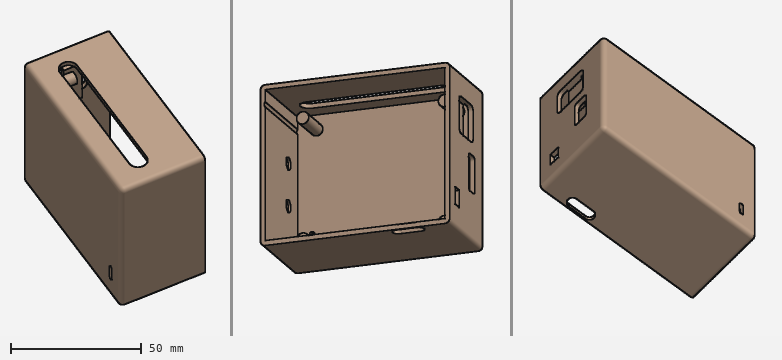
import cadquery as cq

width = 77.5
depth = 37.0
height = 65.0
wall = 2.0
edge_radius = 2.0

post_diameter = 5.0
post_end_y = 17.1
post_pitch_x = 58.0
post_pitch_z = 49.0

top_slot_length = 62.5
top_slot_width = 7.5
top_slot_y = 13.75

front_slot_height = 7.0
front_slot_width = 2.0
front_slot_x = 69.7
front_slot_z = 12.5

bottom_slot_length = 13.0
bottom_slot_width = 4.5
bottom_slot_x = 18.0
bottom_slot_y = 34.0

large_window = (19.4, 47.5, 15.0, 15.0, 2.0)
narrow_window = (13.4, 27.4, 6.7, 15.0, 1.5)
small_window = (28.8, 13.0, 4.5, 7.0, 0.0)

bar_center_y = 19.4
bar_width = 8.0
bar_thickness = 2.5
bar_overlap = 2.0
bar_recess = 0.75

recess_diameter = 5.0
recess_depth = 1.0
recess_y = 12.0
recess_heights = (23.9, 41.1)

groove_diameter = 3.0
groove_depth = 0.4
groove_z = (height + post_pitch_z) / 2


def make_shell():
    body = cq.Workplane("XY").box(width, depth, height, centered=False)
    body = body.edges("not >Y").fillet(edge_radius)
    cavity = (
        cq.Workplane("XY", origin=(wall, wall, wall))
        .box(width - 2 * wall, depth - wall, height - 2 * wall, centered=False)
    )
    return body.cut(cavity)


def make_posts():
    return (
        cq.Workplane("XZ", origin=(width / 2, 0, height / 2))
        .workplane(offset=-wall)
        .rarray(post_pitch_x, post_pitch_z, 2, 2)
        .circle(post_diameter / 2)
        .extrude(wall - post_end_y)
    )


def make_bar():
    center_z, window_height = large_window[1], large_window[3]
    bar_height = window_height + 2 * bar_overlap
    return (
        cq.Workplane("YZ", origin=(wall, bar_center_y, center_z))
        .rect(bar_width, bar_height)
        .extrude(bar_thickness)
    )


def make_window(window, cut_depth):
    center_y, center_z, size_y, size_z, corner_radius = window
    opening = (
        cq.Workplane("YZ", origin=(0, center_y, center_z))
        .rect(size_y, size_z)
        .extrude(cut_depth)
    )
    if corner_radius > 0:
        opening = opening.edges("|X").fillet(corner_radius)
    return opening


def make_top_slot():
    return (
        cq.Workplane("XY", origin=(width / 2, top_slot_y, height - wall))
        .slot2D(top_slot_length, top_slot_width)
        .extrude(wall)
    )


def make_front_slot():
    return (
        cq.Workplane("XZ", origin=(front_slot_x, 0, front_slot_z))
        .slot2D(front_slot_height, front_slot_width, 90)
        .extrude(-wall)
    )


def make_bottom_slot():
    return (
        cq.Workplane("XY", origin=(bottom_slot_x, bottom_slot_y, 0))
        .slot2D(bottom_slot_length, bottom_slot_width)
        .extrude(wall)
    )


def make_recess(center_z):
    return (
        cq.Workplane("YZ", origin=(width - wall, recess_y, center_z))
        .circle(recess_diameter / 2)
        .extrude(recess_depth)
    )


def make_groove():
    groove_radius = groove_diameter / 2
    axis_x = width - wall + groove_depth - groove_radius
    return (
        cq.Workplane("XZ", origin=(axis_x, wall, groove_z))
        .circle(groove_radius)
        .extrude(wall - depth)
    )


result = make_shell().union(make_posts()).union(make_bar())
result = result.cut(make_window(large_window, wall + bar_recess))
for window in (narrow_window, small_window):
    result = result.cut(make_window(window, wall))
for slot in (make_top_slot(), make_front_slot(), make_bottom_slot()):
    result = result.cut(slot)
for recess_z in recess_heights:
    result = result.cut(make_recess(recess_z))
result = result.cut(make_groove())